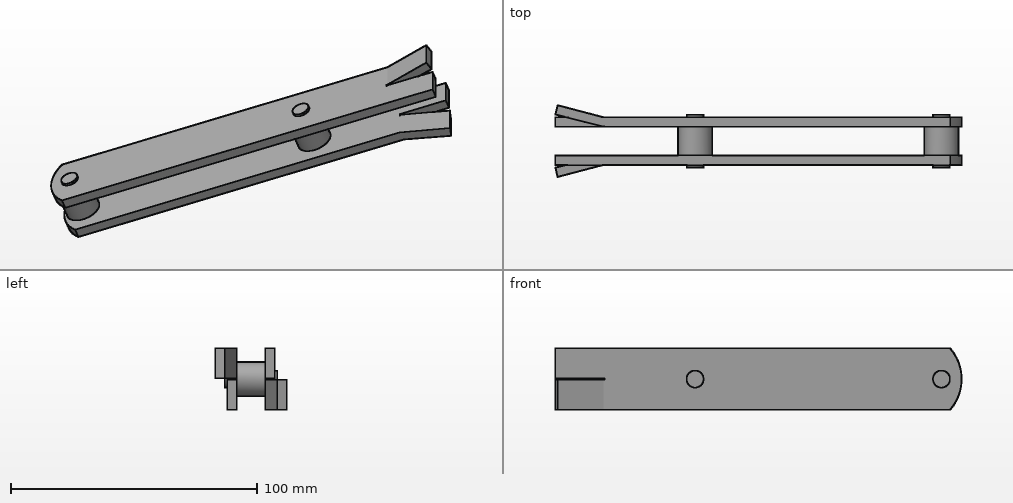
import cadquery as cq
import math

length = 165.0
height = 25.0
thickness = 4.0
gap = 11.5
nose_radius = 19.0

overall_width = 29.2
tab_length = 20.0
slit = 0.5

pin_spacing = 100.0
first_pin_x = 56.8
journal_diameter = 7.0
shoulder_diameter = 14.0
pin_protrusion = 1.0

pin_positions = [first_pin_x, first_pin_x + pin_spacing]
inner_face = gap / 2
outer_face = inner_face + thickness
tab_height = (height - slit) / 2
nose_depth = nose_radius - math.sqrt(nose_radius**2 - (height / 2) ** 2)
tab_spread = overall_width / 2 - outer_face
tab_angle = math.atan(tab_spread / tab_length)


def plate_blank():
    """Flat plate at +Y with a rounded nose at +X."""
    half_height = height / 2
    outline = (
        cq.Workplane("XZ", origin=(0, outer_face, 0))
        .moveTo(0, -half_height)
        .lineTo(length - nose_depth, -half_height)
        .threePointArc((length, 0), (length - nose_depth, half_height))
        .lineTo(0, half_height)
        .close()
    )
    return outline.extrude(thickness)


def flared_tab():
    """Upper half of the square end, bent outward about the tab root."""
    end_lean = thickness * math.sin(tab_angle)
    end_width = thickness * math.cos(tab_angle)
    outer_root_x = tab_length - thickness * math.tan(tab_angle / 2)
    tip_outer = overall_width / 2
    outline = (
        cq.Workplane("XY", origin=(0, 0, height / 2 - tab_height))
        .moveTo(tab_length, inner_face)
        .lineTo(tab_length, outer_face)
        .lineTo(outer_root_x, outer_face)
        .lineTo(end_lean, tip_outer)
        .lineTo(0, tip_outer - end_width)
        .close()
    )
    return outline.extrude(tab_height)


def side_plate():
    """Plate with its tab flared toward +Y and two pin holes."""
    tab_space = cq.Workplane("XY").box(
        tab_length, outer_face, tab_height + slit, centered=False
    ).translate((0, 0, height / 2 - tab_height - slit))
    plate = plate_blank().cut(tab_space).union(flared_tab())
    for x in pin_positions:
        hole = cylinder_along_y(x, journal_diameter, outer_face)
        plate = plate.cut(hole)
    return plate


def cylinder_along_y(x, diameter, half_length):
    """Cylinder along Y, centred midway between the plates."""
    return (
        cq.Workplane("XZ", origin=(x, half_length, 0))
        .circle(diameter / 2)
        .extrude(2 * half_length)
    )


def shouldered_pin(x):
    """Thick shoulder between the plates, with journals that pass through them."""
    journal = cylinder_along_y(x, journal_diameter, outer_face + pin_protrusion)
    shoulder = cylinder_along_y(x, shoulder_diameter, inner_face)
    return journal.union(shoulder)


back_plate = side_plate()
front_plate = back_plate.rotate((0, 0, 0), (1, 0, 0), 180)
pins = [shouldered_pin(x).val() for x in pin_positions]

result = cq.Compound.makeCompound([back_plate.val(), front_plate.val(), *pins])